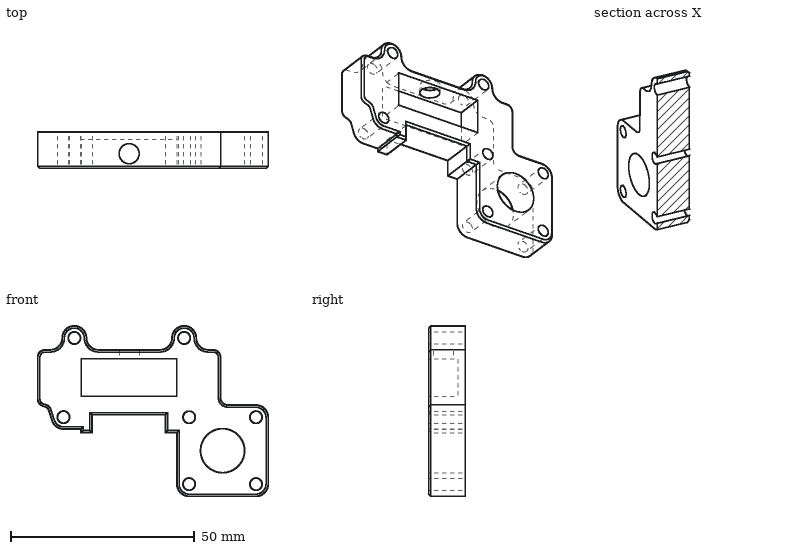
import cadquery as cq
import math

thickness = 10.0
front_chamfer = 0.6

flange_right = 63.0
flange_size = 25.0
flange_left = flange_right - flange_size
flange_corner_radius = 3.45
flange_center = (flange_right - flange_size / 2, flange_size / 2)
flange_bore_diameter = 12.0
flange_hole_pitch = 18.3

body_right = 49.95
body_top = 40.05
body_corner_radius = 2.0

lug_centers_x = (10.0, 40.0)
lug_radius = 3.35
lug_top = 46.6
lug_center_z = lug_top - lug_radius
lug_root_radius = lug_center_z - body_top

foot_hole = (7.05, 21.7)
foot_radius = 3.3
foot_bottom = foot_hole[1] - foot_radius
flank_tilt = math.radians(18)
flank_root_radius = 1.45
shoulder_z = 25.15

tab_bottom = 17.45
left_tab_start = 11.8
notch_left = 14.85
notch_right = 34.9
notch_top = 22.3

screw_hole_diameter = 3.3
pocket_left = 12.0
pocket_bottom = 27.35
pocket_width = 26.0
pocket_height = 10.3
pocket_depth = 8.0
port_diameter = 5.5
port_x = pocket_left + pocket_width / 2
port_y = 4.05


def flank_corners():
    """Top and bottom sharp corners of the slanted flank.

    The flank is tangent to the foot circle leaning from vertical by the tilt.
    The shoulder above it falls from the left edge by the same tilt from horizontal.
    """
    sin_tilt = math.sin(flank_tilt)
    cos_tilt = math.cos(flank_tilt)
    flank_offset = foot_hole[0] * cos_tilt + foot_hole[1] * sin_tilt - foot_radius
    shoulder_offset = shoulder_z * cos_tilt
    determinant = math.cos(2 * flank_tilt)
    top = (
        (flank_offset * cos_tilt - shoulder_offset * sin_tilt) / determinant,
        (shoulder_offset * cos_tilt - flank_offset * sin_tilt) / determinant,
    )
    bottom = ((flank_offset - foot_bottom * sin_tilt) / cos_tilt, foot_bottom)
    return top, bottom


def point_toward(start, end, distance):
    """Point at the given distance from start on the line to end."""
    share = distance / math.dist(start, end)
    return tuple(a + (b - a) * share for a, b in zip(start, end))


def rounded_polygon(corners):
    """Closed XZ outline from (x, z, radius) corners; radius 0 keeps a corner sharp."""
    outline = cq.Workplane("XZ")
    for index, (x, z, radius) in enumerate(corners):
        corner = (x, z)
        before = corners[index - 1][:2]
        after = corners[(index + 1) % len(corners)][:2]
        to_before = point_toward(corner, before, 0.6)
        to_after = point_toward(corner, after, 0.6)
        half_angle = math.asin(math.dist(to_before, to_after) / 1.25)
        setback = radius / math.tan(half_angle)
        arc_start = point_toward(corner, before, setback)
        outline = outline.moveTo(*arc_start) if index == 0 else outline.lineTo(*arc_start)
        if radius > 0:
            middle = tuple((a + b) / 2 for a, b in zip(to_before, to_after))
            arc_middle = point_toward(corner, middle, radius / math.sin(half_angle) - radius)
            arc_end = point_toward(corner, after, setback)
            outline = outline.threePointArc(arc_middle, arc_end)
    return outline.close()


def plate_outline():
    """Corners of the plate, clockwise from the upper left."""
    flank_top, flank_bottom = flank_corners()
    return [
        (0, body_top, body_corner_radius),
        (body_right, body_top, body_corner_radius),
        (body_right, flange_size, body_corner_radius),
        (flange_right, flange_size, flange_corner_radius),
        (flange_right, 0, flange_corner_radius),
        (flange_left, 0, flange_corner_radius),
        (flange_left, tab_bottom, 0),
        (notch_right, tab_bottom, 0),
        (notch_right, notch_top, 0),
        (notch_left, notch_top, 0),
        (notch_left, tab_bottom, 0),
        (left_tab_start, tab_bottom, 0),
        (left_tab_start, foot_bottom, 0),
        (*flank_bottom, foot_radius),
        (*flank_top, flank_root_radius),
        (0, shoulder_z, body_corner_radius),
    ]


def make_lug(center_x):
    """Round-topped lug whose concave root arcs blend into the top edge."""
    reach = lug_radius + lug_root_radius
    diagonal = lug_root_radius * math.sqrt(0.5)
    root_z = lug_center_z - diagonal
    return (
        cq.Workplane("XZ")
        .moveTo(center_x - reach, body_top)
        .threePointArc(
            (center_x - reach + diagonal, root_z),
            (center_x - lug_radius, lug_center_z),
        )
        .threePointArc((center_x, lug_top), (center_x + lug_radius, lug_center_z))
        .threePointArc(
            (center_x + reach - diagonal, root_z),
            (center_x + reach, body_top),
        )
        .lineTo(center_x + reach, notch_top)
        .lineTo(center_x - reach, notch_top)
        .close()
        .extrude(-thickness)
    )


def through_holes(centers, diameter):
    return cq.Workplane("XZ").pushPoints(centers).circle(diameter / 2).extrude(-thickness)


result = rounded_polygon(plate_outline()).extrude(-thickness)
for lug_x in lug_centers_x:
    result = result.union(make_lug(lug_x))
result = result.clean().faces("<Y").chamfer(front_chamfer)

half_pitch = flange_hole_pitch / 2
screw_holes = [(lug_x, lug_center_z) for lug_x in lug_centers_x]
screw_holes.append(foot_hole)
for side_x in (-half_pitch, half_pitch):
    for side_z in (-half_pitch, half_pitch):
        screw_holes.append((flange_center[0] + side_x, flange_center[1] + side_z))
result = result.cut(through_holes(screw_holes, screw_hole_diameter))

result = result.cut(through_holes([flange_center], flange_bore_diameter))

pocket = cq.Workplane("XY").box(pocket_width, pocket_depth, pocket_height, centered=False)
result = result.cut(pocket.translate((pocket_left, 0, pocket_bottom)))

port_depth = body_top - (pocket_bottom + pocket_height)
port_plane = cq.Workplane("XY", origin=(port_x, port_y, body_top))
port = port_plane.circle(port_diameter / 2).extrude(-port_depth)
result = result.cut(port)